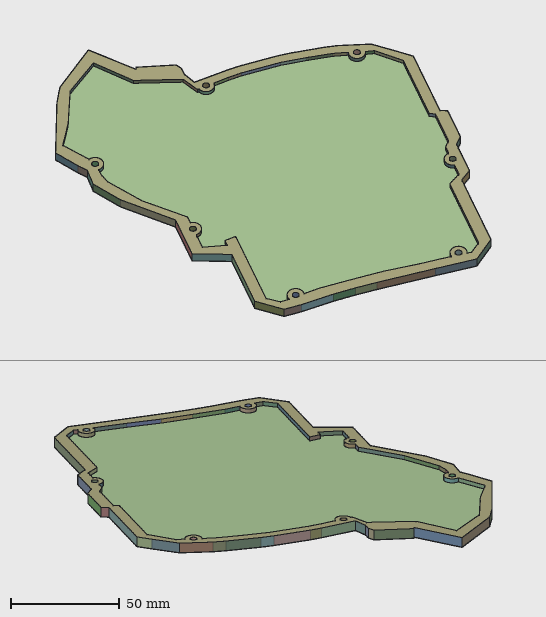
import cadquery as cq


plate_thickness = 5.0
pocket_depth = 2.0
floor_thickness = plate_thickness - pocket_depth

hole_diameter = 3.1
boss_diameter = 7.9
boss_centers = [
    (29.4, 81.5),
    (85.2, 64.0),
    (84.3, -15.6),
    (29.4, -46.0),
    (-24.0, -74.7),
    (-52.5, -10.0),
    (-48.1, 62.6),
]

outer_top_y = 86.3
outer_right_top_y = 81.0
outer_step_y = -34.7
outer_foot_y = -51.8
inner_top_y = 81.0
inner_right_top_y = 74.9
inner_step_y = -29.2
inner_foot_y = -45.9

outer_top_edge = [
    (-36.9, outer_top_y),
    (-1.0, outer_top_y),
    (0.4, 89.5),
    (17.5, 89.5),
    (21.5, outer_top_y),
    (39.0, outer_top_y),
    (43.1, outer_right_top_y),
    (82.6, outer_right_top_y),
]
outer_right_edge = [
    (91.8, 70.7),
    (90.9, 50.7),
    (89.8, 22.4),
    (89.5, 12.0),
    (89.8, 1.0),
    (90.9, -15.2),
    (90.9, -23.7),
]
outer_lower_edge = [
    (81.5, outer_step_y),
    (50.5, outer_step_y),
    (43.9, outer_foot_y),
    (21.5, outer_foot_y),
    (1.0, -71.5),
    (-12.5, -79.9),
    (-21.5, -79.5),
    (-25.7, -82.6),
    (-36.7, -89.5),
]
outer_thumb_edge = [
    (-65.7, -78.4),
    (-74.3, -73.8),
    (-91.8, -53.5),
    (-73.0, -36.9),
    (-74.2, -36.3),
    (-69.2, -18.5),
    (-66.3, -16.9),
    (-62.5, -16.9),
    (-56.2, -14.3),
]
outer_left_edge = [
    (-58.2, 3.1),
    (-58.5, 8.6),
    (-58.5, 26.8),
    (-58.2, 33.0),
    (-56.2, 49.5),
    (-55.0, 55.6),
    (-50.7, 70.5),
    (-41.9, 80.8),
]
outer_outline = outer_top_edge + outer_right_edge + outer_lower_edge + outer_thumb_edge + outer_left_edge

inner_top_edge = [
    (-36.0, inner_top_y),
    (-1.0, inner_top_y),
    (0.5, 83.5),
    (18.0, 83.5),
    (21.3, inner_top_y),
    (39.3, inner_top_y),
    (43.5, inner_right_top_y),
    (82.6, inner_right_top_y),
]
inner_right_edge = [
    (87.0, 69.8),
    (86.3, 60.0),
    (85.5, 44.0),
    (84.3, 27.4),
    (84.0, 12.0),
    (84.0, -4.0),
    (84.8, -11.2),
    (85.7, -16.9),
    (86.0, -23.7),
]
inner_lower_edge = [
    (81.7, inner_step_y),
    (40.5, inner_step_y),
    (41.3, outer_step_y),
    (44.5, outer_step_y),
    (41.7, inner_foot_y),
    (21.7, inner_foot_y),
    (5.0, -62.2),
    (-11.5, -73.0),
    (-16.5, -74.3),
    (-25.0, -74.5),
]
inner_thumb_edge = [
    (-40.0, -84.8),
    (-52.0, -77.8),
    (-70.5, -70.1),
    (-83.3, -54.0),
    (-66.8, -40.4),
    (-59.7, -18.5),
    (-51.4, -14.5),
]
inner_left_edge = [
    (-53.6, 1.5),
    (-54.2, 8.0),
    (-54.2, 27.4),
    (-52.9, 39.7),
    (-51.2, 51.8),
    (-49.5, 58.4),
    (-47.4, 65.5),
    (-46.3, 70.5),
]
pocket_outline = inner_top_edge + inner_right_edge + inner_lower_edge + inner_thumb_edge + inner_left_edge


def prism(outline, base_z, height):
    """Extrude a closed outline upward from base_z."""
    return cq.Workplane("XY").workplane(offset=base_z).polyline(outline).close().extrude(height)


def cylinders(centers, diameter, base_z, height):
    """Upright cylinders of one diameter at every center."""
    return (
        cq.Workplane("XY")
        .workplane(offset=base_z)
        .pushPoints(centers)
        .circle(diameter / 2)
        .extrude(height)
    )


plate = prism(outer_outline, 0, plate_thickness)

bosses = cylinders(boss_centers, boss_diameter, floor_thickness, pocket_depth)
pocket = prism(pocket_outline, floor_thickness, pocket_depth).cut(bosses)

screw_holes = cylinders(boss_centers, hole_diameter, 0, plate_thickness)

result = plate.cut(pocket).cut(screw_holes)